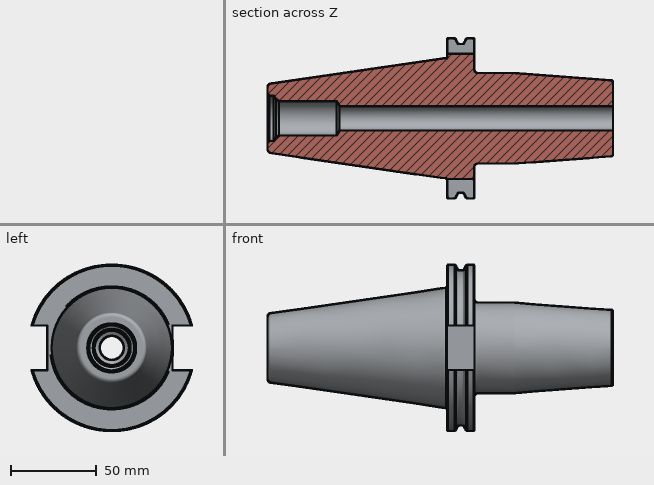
import cadquery as cq

total_length = 201.6
taper_end = 102.8
flange_start = 104.8
flange_width = 16.0
hub_straight_end = 144.2
flange_end = flange_start + flange_width

taper_ratio = 7 / 24
shank_radius = 70.2 / 2
small_end_radius = shank_radius - taper_end * taper_ratio / 2
small_end_fillet = 2.5
shank_root_fillet = 0.8

flange_radius = 97.2 / 2
flange_edge_chamfer = 0.6
groove_center = flange_start + flange_width / 2
groove_depth = 3.2
groove_top_half_width = 3.2
groove_bottom_half_width = 1.6
groove_bottom_fillet = 0.8

slot_width = 26.0
slot_floor_back = 37.7
slot_floor_front = 35.5

hub_radius = 53.0 / 2
hub_fillet = 2.0
nose_radius = 22.2
nose_chamfer = 0.8

through_radius = 14.0 / 2
pilot_radius = 26.2 / 2
pilot_mouth_radius = 14.3
pilot_mouth_depth = 1.2
pilot_depth = 3.6
thread_mouth_start = 5.0
thread_mouth_radius = 22.2 / 2
thread_radius = 20.0 / 2
thread_mouth_depth = 1.8
thread_depth = 40.3
drill_point_length = 1.8


def revolve_about_x(profile):
    """Close an (x, radius) profile and revolve it a full turn about X."""
    return profile.close().revolve(360, (0, 0, 0), (1, 0, 0))


def make_shank():
    profile = (
        cq.Workplane("XY")
        .lineTo(0, small_end_radius)
        .lineTo(taper_end, shank_radius)
        .lineTo(flange_start - shank_root_fillet, shank_radius)
        .radiusArc((flange_start, shank_radius + shank_root_fillet), -shank_root_fillet)
        .lineTo(flange_start, 0)
    )
    return revolve_about_x(profile).faces("<X").edges().fillet(small_end_fillet)


def make_flange():
    disc = (
        cq.Workplane("YZ", origin=(flange_start, 0, 0))
        .circle(flange_radius)
        .extrude(flange_width)
    )
    groove_profile = (
        cq.Workplane("XY")
        .moveTo(groove_center - groove_top_half_width, flange_radius)
        .lineTo(groove_center - groove_bottom_half_width, flange_radius - groove_depth)
        .lineTo(groove_center + groove_bottom_half_width, flange_radius - groove_depth)
        .lineTo(groove_center + groove_top_half_width, flange_radius)
    )
    floor_edges = cq.selectors.RadiusNthSelector(0)
    rim_edges = cq.selectors.RadiusNthSelector(-1)
    flange = disc.cut(revolve_about_x(groove_profile))
    flange = flange.edges(floor_edges).fillet(groove_bottom_fillet)
    flange = flange.edges(rim_edges).chamfer(flange_edge_chamfer)
    for side, floor in ((1, slot_floor_back), (-1, slot_floor_front)):
        slot_depth = flange_radius - floor
        slot = cq.Workplane("XY").box(flange_width, slot_depth, slot_width)
        flange = flange.cut(slot.translate((groove_center, side * (floor + slot_depth / 2), 0)))
    return flange


def make_hub():
    profile = (
        cq.Workplane("XY")
        .moveTo(flange_end, 0)
        .lineTo(flange_end, hub_radius + hub_fillet)
        .radiusArc((flange_end + hub_fillet, hub_radius), -hub_fillet)
        .lineTo(hub_straight_end, hub_radius)
        .lineTo(total_length, nose_radius)
        .lineTo(total_length, 0)
    )
    return revolve_about_x(profile).faces(">X").edges().chamfer(nose_chamfer)


def make_bore():
    profile = (
        cq.Workplane("XY")
        .lineTo(0, pilot_mouth_radius)
        .lineTo(pilot_mouth_depth, pilot_radius)
        .lineTo(pilot_depth, pilot_radius)
        .lineTo(thread_mouth_start, thread_mouth_radius)
        .lineTo(thread_mouth_start + thread_mouth_depth, thread_radius)
        .lineTo(thread_depth, thread_radius)
        .lineTo(thread_depth + drill_point_length, through_radius)
        .lineTo(total_length, through_radius)
        .lineTo(total_length, 0)
    )
    return revolve_about_x(profile)


result = make_shank().union(make_flange()).union(make_hub()).cut(make_bore())